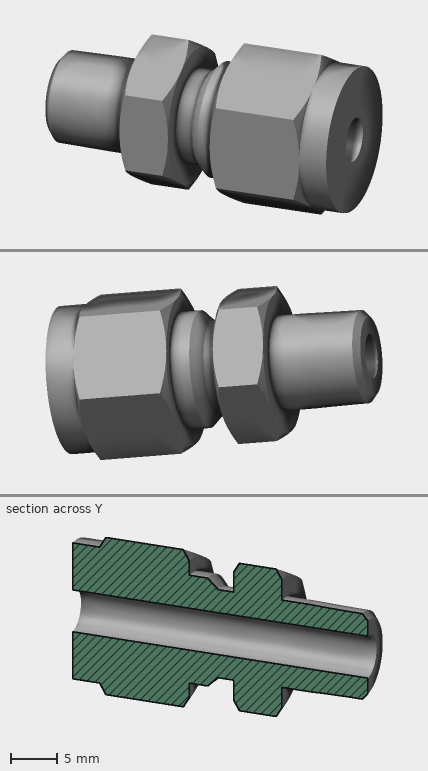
import cadquery as cq
import math

tip_chamfer_end = 0.7
taper_end = 6.7
body_hex_start = 9.95
body_hex_end = 15.6
neck_end = 17.35
shoulder_start = 18.57
nut_hex_start = 20.65
nut_hex_end = 31.1
total_length = 34.2

tip_face_diameter = 8.5
taper_small_diameter = 10.1
thread_diameter = 10.3
neck_diameter = 10.4
shoulder_diameter = 12.72
bore_diameter = 4.85

body_hex_flats = 15.0
nut_hex_flats = 16.0
collar_diameter = nut_hex_flats
hex_chamfer_angle = 30.0
hex_sides = 6


def revolve_profile(stations):
    """Solid of revolution about X from (x, diameter) stations."""
    outline = [(x, diameter / 2) for x, diameter in stations]
    first_x = stations[0][0]
    last_x = stations[-1][0]
    points = [(first_x, 0)] + outline + [(last_x, 0)]
    return cq.Workplane("XY").polyline(points).close().revolve(360, (0, 0, 0), (1, 0, 0))


def chamfered_hex(start, end, flats):
    """Hexagon along X, corners up and down, with both ends coned off down to the flats."""
    corners = flats / math.cos(math.pi / hex_sides)
    chamfer = (corners - flats) / 2 * math.tan(math.radians(hex_chamfer_angle))
    prism = (
        cq.Workplane("YZ", origin=(start, 0, 0))
        .transformed(rotate=(0, 0, 90))
        .polygon(hex_sides, corners)
        .extrude(end - start)
    )
    envelope = revolve_profile([
        (start, flats),
        (start + chamfer, corners),
        (end - chamfer, corners),
        (end, flats),
    ])
    return prism.intersect(envelope)


core = revolve_profile([
    (0, tip_face_diameter),
    (tip_chamfer_end, taper_small_diameter),
    (taper_end, thread_diameter),
    (body_hex_start, thread_diameter),
    (body_hex_start, neck_diameter),
    (neck_end, neck_diameter),
    (shoulder_start, shoulder_diameter),
    (nut_hex_end, shoulder_diameter),
    (nut_hex_end, collar_diameter),
    (total_length, collar_diameter),
])

body_hex = chamfered_hex(body_hex_start, body_hex_end, body_hex_flats)
nut_hex = chamfered_hex(nut_hex_start, nut_hex_end, nut_hex_flats)

bore = cq.Workplane("YZ").circle(bore_diameter / 2).extrude(total_length)

result = core.union(body_hex).union(nut_hex).cut(bore)